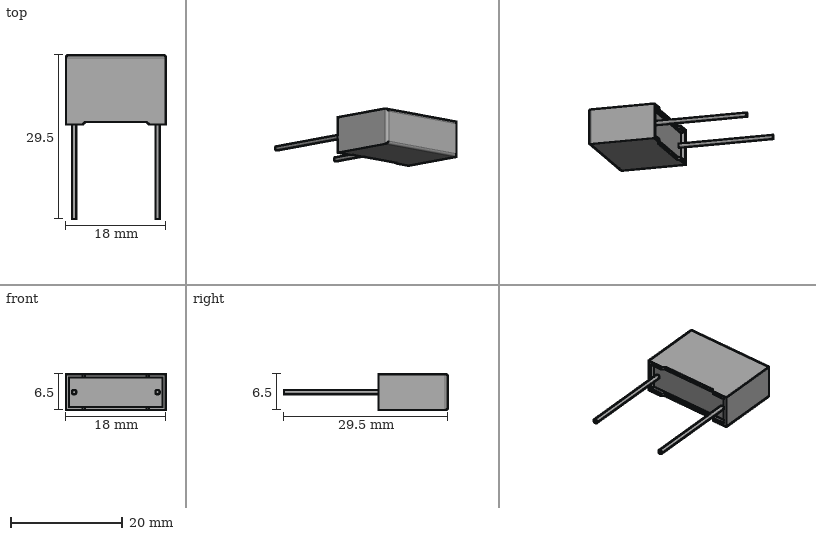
import cadquery as cq

case_width = 18.0
case_depth = 12.5
case_height = 6.5
wall = 0.6
back_edge_radius = 0.5

notch_depth = 0.43
notch_mouth_width = 12.0
notch_floor_width = 11.0

fill_recess = 0.75

lead_diameter = 0.8
lead_pitch = 15.0
lead_reach = 17.0

cavity_width = case_width - 2 * wall
cavity_height = case_height - 2 * wall
cavity_floor_y = case_depth - wall


def block(width, height, y_start, y_end):
    """Box centred on the Y axis, running from y_start to y_end."""
    y_middle = (y_start + y_end) / 2
    return cq.Workplane("XY").box(width, y_end - y_start, height).translate((0, y_middle, 0))


def make_notch():
    """Trapezoid prism that narrows inward and spans the full case height."""
    return (
        cq.Workplane("XY")
        .polyline([
            (-notch_mouth_width / 2, 0),
            (notch_mouth_width / 2, 0),
            (notch_floor_width / 2, notch_depth),
            (-notch_floor_width / 2, notch_depth),
        ])
        .close()
        .extrude(case_height / 2, both=True)
    )


def make_case():
    """Thin-walled box with a rounded back and a notched rim."""
    shell = block(case_width, case_height, 0, case_depth).faces(">Y").edges().fillet(back_edge_radius)
    cavity = block(cavity_width, cavity_height, 0, cavity_floor_y)
    return shell.cut(cavity).cut(make_notch())


def make_fill():
    """Potting block that fills the cavity up to the recessed surface."""
    return block(cavity_width, cavity_height, fill_recess, cavity_floor_y)


def make_lead(x):
    """Round wire that stands on the fill surface and runs out toward -Y."""
    return (
        cq.Workplane("XZ", origin=(x, fill_recess, 0))
        .circle(lead_diameter / 2)
        .extrude(fill_recess + lead_reach)
    )


case = make_case()
fill = make_fill()
leads = [make_lead(side * lead_pitch / 2) for side in (-1, 1)]

result = cq.Compound.makeCompound([case.val(), fill.val(), *[lead.val() for lead in leads]])